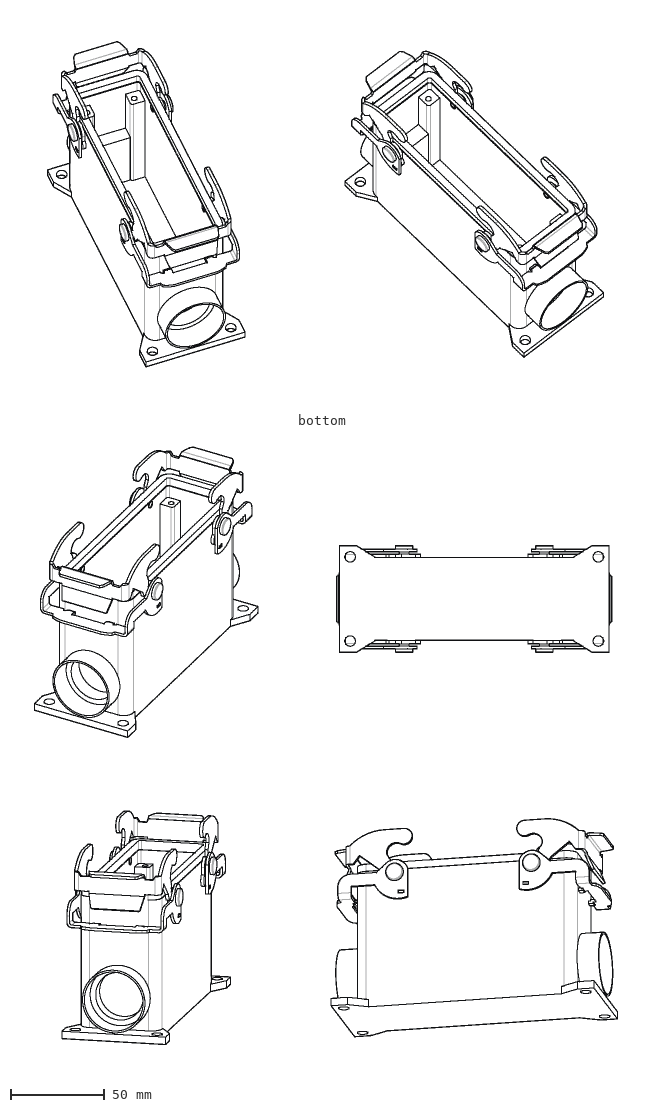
import cadquery as cq
import math


BODY_HALF_X = 60.3
BODY_HALF_Y = 22.2
BODY_TOP = 80.1
CORNER_R = 6.0
RIM_HEIGHT = 4.1
RIM_INSET_Y = 0.3
CAVITY_HALF_X = 56.0
CAVITY_HALF_Y = 18.0
CAVITY_CORNER_R = 1.5
LIP_BOTTOM = 75.0
LIP_OVERHANG = 0.5
FLOOR_THICKNESS = 4.1

POST_WIDTH = 7.6
POST_TOP = 67.3
POST_EDGE_R = 1.5
POST_HOLE_D = 3.0
POST_HOLE_DEPTH = 14.7
POST_HOLE_X = 52.0
POST_HOLE_Y = 13.5

FOOT_HALF_X = 72.0
FOOT_HALF_Y = 28.5
FOOT_THICKNESS = 4.1
FOOT_FLAT_END_X = 62.9
FOOT_SLOPE_END_X = 52.8
FOOT_HOLE_X = 66.3
FOOT_HOLE_Y = 22.5
FOOT_HOLE_D = 5.6

ENTRY_Z = 22.0
ENTRY_R = 17.2
ENTRY_BORE_R = 16.2
ENTRY_HOLE_R = 13.1
ENTRY_BLOCK_TOP = ENTRY_Z + ENTRY_R
ENTRY_BORE_DEPTH = 12.8
ENTRY_END_WALL = 1.5
LEFT_BLOCK_X = 49.2

PIN_X = -37.5
PIN_Z = 72.9
PIN_R = 2.6
PIN_HEAD_R = 4.7
PIN_HEAD_ROUND = 0.5
PIN_TIP_R = 1.9

SHEET = 1.5
BAIL_HALF_Y = 26.6
LATCH_HALF_Y = 24.0
LATCH_SHEET_Y = 1.8


def box(x0, x1, y0, y1, z0, z1):
    return cq.Workplane("XY").box(x1 - x0, y1 - y0, z1 - z0, centered=False).translate((x0, y0, z0))


def rounded_block(half_x, half_y, z0, z1, radius):
    return box(-half_x, half_x, -half_y, half_y, z0, z1).edges("|Z").fillet(radius)


def point_on_circle(center_a, center_b, radius, degrees):
    angle = math.radians(degrees)
    return (center_a + radius * math.cos(angle), center_b + radius * math.sin(angle))


def cylinder_along_y(radius, y0, y1, x=PIN_X, z=PIN_Z):
    return cq.Workplane("XZ", origin=(0, y0, 0)).center(x, z).circle(radius).extrude(y0 - y1)


def cylinder_along_x(radius, x0, x1):
    return cq.Workplane("YZ", origin=(x0, 0, 0)).center(0, ENTRY_Z).circle(radius).extrude(x1 - x0)


def with_y_mirror(shape):
    return shape.union(shape.mirror("XZ"))


def make_shell():
    rim_bottom = BODY_TOP - RIM_HEIGHT
    shell = rounded_block(BODY_HALF_X, BODY_HALF_Y, 0, rim_bottom, CORNER_R)
    shell = shell.union(rounded_block(BODY_HALF_X, BODY_HALF_Y - RIM_INSET_Y, rim_bottom, BODY_TOP, CORNER_R))
    opening = rounded_block(CAVITY_HALF_X, CAVITY_HALF_Y, LIP_BOTTOM, BODY_TOP, CAVITY_CORNER_R)
    cavity_x = CAVITY_HALF_X + LIP_OVERHANG
    cavity_y = CAVITY_HALF_Y + LIP_OVERHANG
    cavity = rounded_block(cavity_x, cavity_y, FLOOR_THICKNESS, LIP_BOTTOM, CAVITY_CORNER_R)
    return shell.cut(opening).cut(cavity)


def make_post(side_x, side_y):
    outer_x = CAVITY_HALF_X + LIP_OVERHANG
    outer_y = CAVITY_HALF_Y + LIP_OVERHANG
    inner_x = CAVITY_HALF_X - POST_WIDTH
    inner_y = CAVITY_HALF_Y - POST_WIDTH
    post = box(inner_x, outer_x, inner_y, outer_y, FLOOR_THICKNESS, POST_TOP)
    post = post.edges("|Z and <X and <Y").fillet(POST_EDGE_R)
    hole = cq.Workplane("XY", origin=(POST_HOLE_X, POST_HOLE_Y, POST_TOP - POST_HOLE_DEPTH))
    post = post.cut(hole.circle(POST_HOLE_D / 2).extrude(POST_HOLE_DEPTH))
    if side_x < 0:
        post = post.mirror("YZ")
    if side_y < 0:
        post = post.mirror("XZ")
    return post


def make_foot_plate():
    """Base plate at the -X end, sloping in to the housing sides."""
    plan = [
        (-FOOT_HALF_X, -FOOT_HALF_Y),
        (-FOOT_FLAT_END_X, -FOOT_HALF_Y),
        (-FOOT_SLOPE_END_X, -BODY_HALF_Y),
        (-FOOT_SLOPE_END_X, BODY_HALF_Y),
        (-FOOT_FLAT_END_X, FOOT_HALF_Y),
        (-FOOT_HALF_X, FOOT_HALF_Y),
    ]
    plate = cq.Workplane("XY").polyline(plan).close().extrude(FOOT_THICKNESS)
    hole_places = [(-FOOT_HOLE_X, -FOOT_HOLE_Y), (-FOOT_HOLE_X, FOOT_HOLE_Y)]
    holes = cq.Workplane("XY").pushPoints(hole_places).circle(FOOT_HOLE_D / 2).extrude(FOOT_THICKNESS)
    return plate.cut(holes)


def make_housing():
    housing = make_shell()

    block_half_y = CAVITY_HALF_Y - POST_WIDTH
    wall_x = CAVITY_HALF_X + LIP_OVERHANG
    right_block_x = CAVITY_HALF_X - POST_WIDTH
    for x0, x1 in ((-wall_x, -LEFT_BLOCK_X), (right_block_x, wall_x)):
        housing = housing.union(box(x0, x1, -block_half_y, block_half_y, FLOOR_THICKNESS, ENTRY_BLOCK_TOP))

    for side_x in (-1, 1):
        for side_y in (-1, 1):
            housing = housing.union(make_post(side_x, side_y))

    foot = make_foot_plate()
    housing = housing.union(foot).union(foot.mirror("YZ"))

    tube_root_x = BODY_HALF_X - CORNER_R / 2
    bore_end_x = FOOT_HALF_X - ENTRY_BORE_DEPTH
    hole_end_x = LEFT_BLOCK_X + ENTRY_END_WALL
    for side_x in (-1, 1):
        outer_x = side_x * FOOT_HALF_X
        housing = housing.union(cylinder_along_x(ENTRY_R, side_x * tube_root_x, outer_x))
        housing = housing.cut(cylinder_along_x(ENTRY_BORE_R, side_x * bore_end_x, outer_x))
        housing = housing.cut(cylinder_along_x(ENTRY_HOLE_R, side_x * hole_end_x, outer_x))
    return housing


LATCH_BACK_X = -65.5
LATCH_BEND_R = 3.0
HOOK_NOTCH_R = 5.1
HOOK_NOTCH_Z = 85.2
NOTCH_MID_ANGLE = 130
NOTCH_END_ANGLE = 190
HOOK_TIP_R = 4.3
HOOK_TIP_X = -32.9
HOOK_TOP = 98.0
HOOK_BACK_Z = 90.2
HOOK_FLAT_START_X = -44.0
HOOK_ARC_END_X = -62.8
LATCH_EYE_R = 4.7
LATCH_TAIL_R = 3.8
LATCH_TAIL_X = -35.1
LATCH_TAIL_Z = 65.8
NECK_FRONT_X = -40.5
NECK_TOP_Z = 80.8
NECK_BACK_X = -45.5
NECK_STEP = (-47.2, 76.4)
WINDOW_APEX = (-57.5, 84.5)
WINDOW_END_X = -60.8
BACK_NOTCH_Z = 88.2
BACK_NOTCH_FLOOR_Y = (15.7, 19.8)
BACK_NOTCH_TOP_Y = (15.0, 21.2)
TAB_HALF_Y = 15.0
TAB_CORNER = (-71.9, 13.4)
TAB_END_HALF_Y = 12.0
TAB_TOP = 91.4
TAB_END_X = -73.5
TAB_BEND_R = 2.5
FLAP_HALF_Y = 15.3
FLAP_TIP_HALF_Y = 13.2
FLAP_TIP_ROUND = 1.2
FLAP_BEND_Z = 79.0
FLAP_BOTTOM = 71.0
FLAP_TIP_INNER_X = -67.5
FLAP_TIP_OUTER_X = -68.8
FLAP_TIP_STEP = 0.7


def make_hook_outline():
    """Side profile of the locking lever, as a solid through the full width."""
    tip_z = HOOK_TOP - HOOK_TIP_R
    meet_angle = math.degrees(math.atan2(tip_z - HOOK_NOTCH_Z, HOOK_TIP_X - PIN_X))
    meet = point_on_circle(PIN_X, HOOK_NOTCH_Z, HOOK_NOTCH_R, meet_angle)
    notch_mid = point_on_circle(PIN_X, HOOK_NOTCH_Z, HOOK_NOTCH_R, NOTCH_MID_ANGLE)
    notch_end = point_on_circle(PIN_X, HOOK_NOTCH_Z, HOOK_NOTCH_R, NOTCH_END_ANGLE)

    run = HOOK_FLAT_START_X - HOOK_ARC_END_X
    drop = HOOK_TOP - HOOK_BACK_Z
    back_r = (run**2 + drop**2) / (2 * drop)
    half_turn = math.asin(run / back_r) / 2
    back_mid = (
        HOOK_FLAT_START_X - back_r * math.sin(half_turn),
        HOOK_TOP - back_r * (1 - math.cos(half_turn)),
    )

    profile = (
        cq.Workplane("XZ")
        .moveTo(LATCH_BACK_X, BODY_TOP)
        .lineTo(LATCH_BACK_X, HOOK_BACK_Z)
        .lineTo(HOOK_ARC_END_X, HOOK_BACK_Z)
        .threePointArc(back_mid, (HOOK_FLAT_START_X, HOOK_TOP))
        .lineTo(HOOK_TIP_X, HOOK_TOP)
        .threePointArc((HOOK_TIP_X + HOOK_TIP_R, tip_z), meet)
        .threePointArc(notch_mid, notch_end)
        .lineTo(NECK_FRONT_X, NECK_TOP_Z)
        .lineTo(NECK_FRONT_X, PIN_Z)
        .lineTo(NECK_BACK_X, PIN_Z)
        .lineTo(*NECK_STEP)
        .lineTo(*WINDOW_APEX)
        .lineTo(WINDOW_END_X, BODY_TOP)
        .close()
        .extrude(LATCH_HALF_Y, both=True)
    )
    eye = cylinder_along_y(LATCH_EYE_R, -LATCH_HALF_Y, LATCH_HALF_Y)
    tail = cylinder_along_y(LATCH_TAIL_R, -LATCH_HALF_Y, LATCH_HALF_Y, x=LATCH_TAIL_X, z=LATCH_TAIL_Z)
    web_x0 = LATCH_TAIL_X - LATCH_TAIL_R
    web_x1 = PIN_X + LATCH_EYE_R
    web = box(web_x0, web_x1, -LATCH_HALF_Y, LATCH_HALF_Y, LATCH_TAIL_Z, PIN_Z)
    return profile.union(eye).union(tail).union(web)


def make_latch_sleeve():
    """Sheet bent to a U in plan: a back plate and two side arms."""
    front_x = 0.0
    inner_half_y = LATCH_HALF_Y - LATCH_SHEET_Y
    outer = box(LATCH_BACK_X, front_x, -LATCH_HALF_Y, LATCH_HALF_Y, 0, HOOK_TOP)
    outer = outer.edges("|Z and <X").fillet(LATCH_BEND_R)
    inner = box(LATCH_BACK_X + SHEET, front_x, -inner_half_y, inner_half_y, 0, HOOK_TOP)
    inner = inner.edges("|Z and <X").fillet(LATCH_BEND_R - SHEET)
    return outer.cut(inner)


def make_back_notch():
    """Relief in the top of the back plate between thumb tab and arm."""
    top_start, top_end = BACK_NOTCH_TOP_Y
    floor_start, floor_end = BACK_NOTCH_FLOOR_Y
    face = [
        (top_start, HOOK_BACK_Z),
        (floor_start, BACK_NOTCH_Z),
        (floor_end, BACK_NOTCH_Z),
        (top_end, HOOK_BACK_Z),
    ]
    plane = cq.Workplane("YZ", origin=(LATCH_BACK_X, 0, 0))
    return plane.polyline(face).close().extrude(LATCH_BEND_R)


def make_thumb_tab():
    bend_x = LATCH_BACK_X + SHEET - TAB_BEND_R
    bend_z = TAB_TOP - TAB_BEND_R
    inner_r = TAB_BEND_R - SHEET
    diagonal = math.sqrt(0.5)
    tab = (
        cq.Workplane("XZ")
        .moveTo(TAB_END_X, TAB_TOP)
        .lineTo(bend_x, TAB_TOP)
        .threePointArc(
            (bend_x + TAB_BEND_R * diagonal, bend_z + TAB_BEND_R * diagonal), (bend_x + TAB_BEND_R, bend_z)
        )
        .lineTo(bend_x + inner_r, bend_z)
        .threePointArc(
            (bend_x + inner_r * diagonal, bend_z + inner_r * diagonal), (bend_x, bend_z + inner_r)
        )
        .lineTo(TAB_END_X, TAB_TOP - SHEET)
        .close()
        .extrude(TAB_HALF_Y, both=True)
    )
    root_x = LATCH_BACK_X + SHEET
    edge = [(root_x, TAB_HALF_Y), (bend_x, TAB_HALF_Y), TAB_CORNER, (TAB_END_X, TAB_END_HALF_Y)]
    plan = edge + [(x, -y) for x, y in reversed(edge)]
    return tab.intersect(cq.Workplane("XY").polyline(plan).close().extrude(TAB_TOP))


def make_finger_flap():
    """Tapered flap hanging from the back plate and slanting outward."""
    flap = (
        cq.Workplane("XZ")
        .polyline(
            [
                (LATCH_BACK_X, BODY_TOP),
                (LATCH_BACK_X + SHEET, BODY_TOP),
                (LATCH_BACK_X + SHEET, FLAP_BEND_Z),
                (FLAP_TIP_INNER_X, FLAP_BOTTOM),
                (FLAP_TIP_OUTER_X, FLAP_BOTTOM + FLAP_TIP_STEP),
                (LATCH_BACK_X, FLAP_BEND_Z),
            ]
        )
        .close()
        .extrude(FLAP_HALF_Y, both=True)
    )
    edge = [(FLAP_HALF_Y, BODY_TOP), (FLAP_HALF_Y, FLAP_BEND_Z), (FLAP_TIP_HALF_Y, FLAP_BOTTOM)]
    face = edge + [(-y, z) for y, z in reversed(edge)]
    depth = LATCH_BACK_X + SHEET - TAB_END_X
    taper = cq.Workplane("YZ", origin=(TAB_END_X, 0, 0)).polyline(face).close().extrude(depth)
    taper = taper.edges("|X and <Z").fillet(FLAP_TIP_ROUND)
    return flap.intersect(taper)


def make_latch():
    latch = make_hook_outline().intersect(make_latch_sleeve())
    latch = latch.cut(with_y_mirror(make_back_notch()))
    return latch.union(make_thumb_tab()).union(make_finger_flap())


BAIL_FRONT_X = -30.5
BAIL_EYE_R = 7.2
BAIL_ARM_TOP = 73.5
BAIL_ARM_BOTTOM = 66.7
BAIL_LEG_OUTER_X = -68.8
BAIL_LEG_INNER_X = -61.6
BAIL_STRAP_BOTTOM = 60.4
BAIL_BEND_R = 2.8
BAIL_TANGENT_ANGLE = 41.3
BAIL_ELBOW_R = 6.6
CAM_X = -35.3
CAM_R = 14.7
CAM_MID_ANGLE = 240
MARK_START_X = -35.7
MARK_LENGTH = 3.1
MARK_BOTTOM = 61.3
MARK_HEIGHT = 1.5
MARK_DEPTH = 0.7
STRAP_EDGE_X = -72.5
NOSE_ROOT_HALF_Y = 19.0
NOSE_SHOULDER = [(-70.7, 18.1), (-71.7, 15.6)]
NOSE_TIP_HALF_Y = 12.5
SPRING_INNER_Y = 9.8
SPRING_OUTER_Y = 14.0
SPRING_DROP = 0.7
RELIEF_SLOT_R = 1.0
RELIEF_SLOT_X = -62.9
STRAP_NOTCH_X = -64.5


def make_bail_arm():
    """Side arm on the -Y side with a round eye, a cam lobe below it and an elbow at the outer end."""
    cam_start_x = CAM_X - math.sqrt(CAM_R**2 - (PIN_Z - BAIL_ARM_BOTTOM) ** 2)
    cam_end_z = PIN_Z - math.sqrt(CAM_R**2 - (BAIL_FRONT_X - CAM_X) ** 2)
    cam_mid = point_on_circle(CAM_X, PIN_Z, CAM_R, CAM_MID_ANGLE)
    eye_end_z = PIN_Z + math.sqrt(BAIL_EYE_R**2 - (BAIL_FRONT_X - PIN_X) ** 2)

    slope = math.radians(BAIL_TANGENT_ANGLE)
    tangent = point_on_circle(PIN_X, PIN_Z, BAIL_EYE_R, 90 + BAIL_TANGENT_ANGLE)
    arm_join_x = tangent[0] - (tangent[1] - BAIL_ARM_TOP) / math.tan(slope)
    elbow_x = BAIL_LEG_OUTER_X + BAIL_ELBOW_R
    elbow_z = BAIL_ARM_TOP - BAIL_ELBOW_R
    diagonal = BAIL_ELBOW_R * math.sqrt(0.5)
    leg_end_z = BAIL_STRAP_BOTTOM + BAIL_BEND_R

    arm = (
        cq.Workplane("XZ", origin=(0, -BAIL_HALF_Y, 0))
        .moveTo(BAIL_FRONT_X, cam_end_z)
        .lineTo(BAIL_FRONT_X, eye_end_z)
        .threePointArc((PIN_X, PIN_Z + BAIL_EYE_R), tangent)
        .lineTo(arm_join_x, BAIL_ARM_TOP)
        .lineTo(elbow_x, BAIL_ARM_TOP)
        .threePointArc((elbow_x - diagonal, elbow_z + diagonal), (BAIL_LEG_OUTER_X, elbow_z))
        .lineTo(BAIL_LEG_OUTER_X, leg_end_z)
        .lineTo(BAIL_LEG_INNER_X, leg_end_z)
        .lineTo(BAIL_LEG_INNER_X, BAIL_ARM_BOTTOM)
        .lineTo(cam_start_x, BAIL_ARM_BOTTOM)
        .threePointArc(cam_mid, (BAIL_FRONT_X, cam_end_z))
        .close()
        .extrude(-SHEET)
    )
    mark = box(
        MARK_START_X,
        MARK_START_X + MARK_LENGTH,
        -BAIL_HALF_Y,
        MARK_DEPTH - BAIL_HALF_Y,
        MARK_BOTTOM,
        MARK_BOTTOM + MARK_HEIGHT,
    )
    return arm.cut(mark)


def make_strap():
    """Cross strap joining the two legs, with two spring tongues that rest on the housing end wall."""
    strap_top = BAIL_STRAP_BOTTOM + SHEET
    inner_half_y = BAIL_HALF_Y - SHEET
    bends = box(
        BAIL_LEG_OUTER_X, BAIL_LEG_INNER_X, -BAIL_HALF_Y, BAIL_HALF_Y, BAIL_STRAP_BOTTOM, BAIL_ARM_BOTTOM
    )
    bends = bends.edges("|X and <Z").fillet(BAIL_BEND_R)
    hollow = box(BAIL_LEG_OUTER_X, BAIL_LEG_INNER_X, -inner_half_y, inner_half_y, strap_top, BAIL_ARM_BOTTOM)
    hollow = hollow.edges("|X and <Z").fillet(BAIL_BEND_R - SHEET)
    strap = bends.cut(hollow)

    edge = [(BAIL_LEG_OUTER_X, NOSE_ROOT_HALF_Y), *NOSE_SHOULDER, (STRAP_EDGE_X, NOSE_TIP_HALF_Y)]
    plan = edge + [(x, -y) for x, y in reversed(edge)]
    nose = cq.Workplane("XY", origin=(0, 0, BAIL_STRAP_BOTTOM)).polyline(plan).close().extrude(SHEET)
    strap = strap.union(nose)

    notch = box(
        STRAP_NOTCH_X, BAIL_LEG_INNER_X, -SPRING_INNER_Y, SPRING_INNER_Y, BAIL_STRAP_BOTTOM, strap_top
    )
    strap = strap.cut(notch)

    slot_y = SPRING_OUTER_Y + RELIEF_SLOT_R
    slot_end_x = RELIEF_SLOT_X + RELIEF_SLOT_R
    slot = box(
        slot_end_x, BAIL_LEG_INNER_X, SPRING_OUTER_Y, slot_y + RELIEF_SLOT_R, BAIL_STRAP_BOTTOM, strap_top
    )
    slot_end = cq.Workplane("XY", origin=(slot_end_x, slot_y, BAIL_STRAP_BOTTOM))
    slot = slot.union(slot_end.circle(RELIEF_SLOT_R).extrude(SHEET))
    strap = strap.cut(with_y_mirror(slot))

    tongue = box(
        RELIEF_SLOT_X,
        -BODY_HALF_X,
        SPRING_INNER_Y,
        SPRING_OUTER_Y,
        BAIL_STRAP_BOTTOM - SPRING_DROP,
        strap_top - SPRING_DROP,
    )
    return strap.union(with_y_mirror(tongue))


def make_bail():
    return with_y_mirror(make_bail_arm()).union(make_strap())


def make_pin():
    """Headed pin on the -Y side; its tip ends flush with the lip inside the cavity."""
    shank = cylinder_along_y(PIN_R, -BAIL_HALF_Y, -BODY_HALF_Y)
    head = cylinder_along_y(PIN_HEAD_R, -FOOT_HALF_Y, -BAIL_HALF_Y)
    head = head.faces("<Y").edges().fillet(PIN_HEAD_ROUND)
    tip = cylinder_along_y(PIN_TIP_R, -BODY_HALF_Y, -CAVITY_HALF_Y)
    return shank.union(head).union(tip)


lever_set = make_latch().union(make_bail()).union(with_y_mirror(make_pin()))
result = make_housing().union(lever_set).union(lever_set.mirror("YZ"))